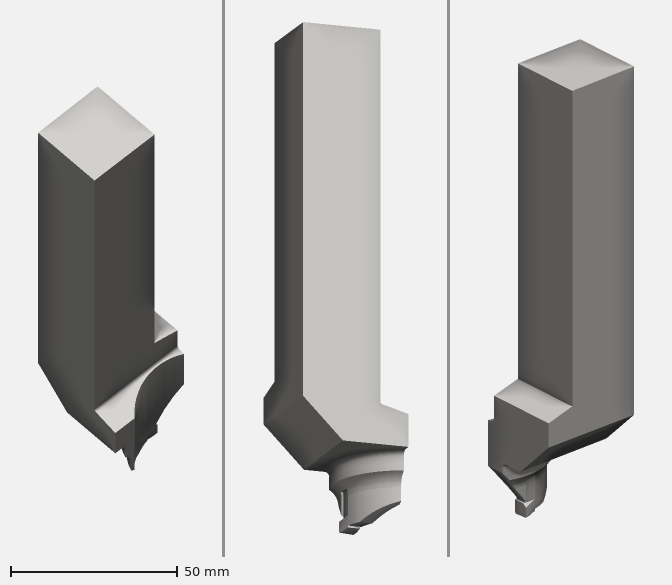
import cadquery as cq
import math

total_height = 151.4
foot_width = 34.0
foot_depth = 34.5
shank_side = 25.0

foot_bottom = 21.6
foot_lip_top = 32.0
rear_lip_top = 42.8
lip_angle = math.radians(15)
lip_root_radius = 0.9
bevel_height = 13.0
side_taper = 0.3

clearance_radius = 22.7
clearance_x = 48.6
clearance_y = 25.5

neck_left = 21.5
neck_radius = 20.3
neck_x = neck_left + neck_radius
neck_y = clearance_y
collar_radius = neck_radius + 2.3
collar_top = 20.1
collar_bottom = 15.5
cove_bottom = 10.9
flare = foot_bottom - collar_top
neck_bottom = 1.4
neck_slope_start = 15.6
neck_slope_angle = math.radians(30)
rear_cut_top = 18.3

insert_front = 20.6
blade_rear = 24.7
rake_face = 25.3
rear_cut_bottom = 5.3
blade_left = 22.1
blade_top = 12.9
blade_right = 26.6
head_left = 20.9
head_right = 25.9
tip_x = 25.5
head_top = 3.6
ledge_top = 4.7
edge_rise = 0.3
bottom_relief = 0.8


def box(x0, x1, y0, y1, z0, z1):
    return cq.Workplane("XY").box(x1 - x0, y1 - y0, z1 - z0, centered=False).translate((x0, y0, z0))


def side_prism(points, x0, x1):
    """Extrude a (y, z) outline along X."""
    return cq.Workplane("YZ").workplane(offset=x0).polyline(points).close().extrude(x1 - x0)


def front_prism(points, y0, y1):
    """Extrude an (x, z) outline along Y."""
    return cq.Workplane("XZ").workplane(offset=-y0).polyline(points).close().extrude(y0 - y1)


def clearance_cylinder():
    return cq.Workplane("XY").center(clearance_x, clearance_y).circle(clearance_radius).extrude(total_height)


def make_shank_and_foot():
    lip_rise = (foot_width - shank_side) * math.tan(lip_angle)
    rear_rise = (foot_depth - shank_side) * math.tan(lip_angle)
    front_outline = [
        (0, total_height),
        (shank_side, total_height),
        (shank_side, foot_lip_top + lip_rise),
        (foot_width, foot_lip_top),
        (foot_width, foot_bottom),
        (bevel_height, foot_bottom),
        (0, foot_bottom + bevel_height),
    ]
    side_outline = [
        (0, foot_bottom),
        (foot_depth, foot_bottom),
        (foot_depth, rear_lip_top),
        (shank_side, rear_lip_top + rear_rise),
        (shank_side, total_height),
        (0, total_height),
    ]
    lip_root = (shank_side, foot_depth / 2, foot_lip_top + lip_rise)
    front_body = (
        front_prism(front_outline, 0, foot_depth)
        .edges(cq.NearestToPointSelector(lip_root))
        .fillet(lip_root_radius)
    )
    body = front_body.intersect(side_prism(side_outline, 0, foot_width))
    taper = (
        cq.Workplane("XY")
        .polyline([(0, 0), (side_taper, 0), (0, foot_depth)])
        .close()
        .extrude(total_height)
    )
    return body.cut(taper)


def make_neck():
    cove_height = collar_bottom - cove_bottom
    cove_step = collar_radius - neck_radius
    cove_radius = (cove_height**2 + cove_step**2) / (2 * cove_step)
    half_angle = math.asin(cove_height / cove_radius) / 2
    cove_middle = (
        neck_radius + cove_radius * (1 - math.cos(half_angle)),
        cove_bottom + cove_radius * math.sin(half_angle),
    )
    flare_middle = (
        collar_radius + flare * (1 - math.sqrt(0.5)),
        collar_top + flare * math.sqrt(0.5),
    )
    neck = (
        cq.Workplane("XZ")
        .moveTo(0, neck_bottom)
        .lineTo(neck_radius, neck_bottom)
        .lineTo(neck_radius, cove_bottom)
        .threePointArc(cove_middle, (collar_radius, collar_bottom))
        .lineTo(collar_radius, collar_top)
        .threePointArc(flare_middle, (collar_radius + flare, foot_bottom))
        .lineTo(0, foot_bottom)
        .close()
        .revolve(360, (0, 0), (0, 1))
        .translate((neck_x, neck_y))
    )
    slope_end = neck_bottom + neck_slope_start * math.tan(neck_slope_angle)
    side_outline = [
        (0, foot_bottom),
        (0, slope_end),
        (neck_slope_start, neck_bottom),
        (blade_rear, neck_bottom),
        (blade_rear, rear_cut_bottom),
        (foot_depth, rear_cut_top),
        (foot_depth, foot_bottom),
    ]
    return neck.intersect(side_prism(side_outline, 0, foot_width))


def make_holder():
    pocket = box(0, foot_width, insert_front, blade_rear, 0, blade_top)
    return make_shank_and_foot().union(make_neck()).cut(clearance_cylinder()).cut(pocket)


def make_insert():
    blade = box(blade_left, blade_right, insert_front, blade_rear, head_top, blade_top)
    head_outline = [
        (head_left, edge_rise),
        (tip_x, 0),
        (head_right, edge_rise),
        (head_right, ledge_top),
        (blade_left, ledge_top),
        (head_left, head_top),
    ]
    head = front_prism(head_outline, insert_front, rake_face)
    side_relief = (
        cq.Workplane("XY")
        .polyline([(head_left, insert_front), (blade_left, insert_front), (head_left, rake_face)])
        .close()
        .extrude(ledge_top)
    )
    lower_relief = side_prism(
        [(insert_front, 0), (rake_face, 0), (insert_front, bottom_relief)], head_left, blade_right
    )
    return blade.cut(clearance_cylinder()).union(head.cut(side_relief).cut(lower_relief))


holder = make_holder()
insert = make_insert()
result = cq.Compound.makeCompound([holder.val(), insert.val()])